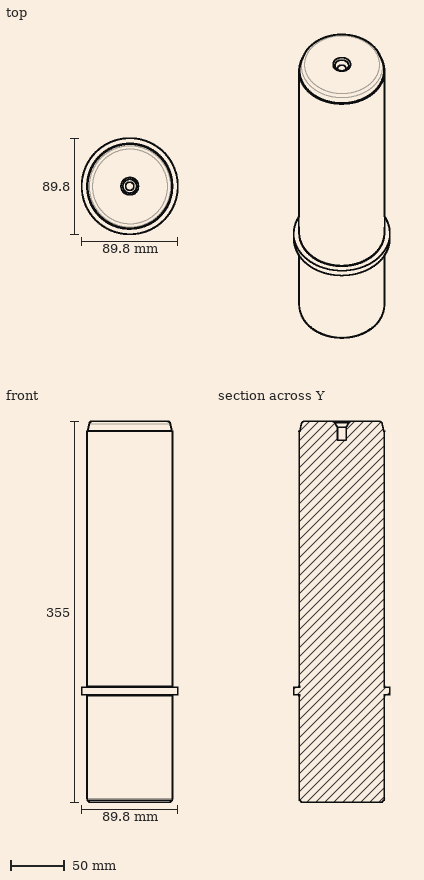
import cadquery as cq
import math

length = 355.0
shaft_radius = 80.0 / 2
collar_radius = 89.8 / 2
collar_bottom = 100.0
collar_thickness = 7.0

relief_width = 1.0
relief_depth = 0.5

base_chamfer = 2.0
base_taper_height = 2.0
base_taper_inset = 0.5

nose_height = 9.0
shoulder_chamfer = 0.7
nose_angle = 12.0
nose_fillet = 3.0

mouth_radius = 8.0
mouth_depth = 1.5
cone_radius = 6.5
cone_angle = 60.0
pilot_radius = 4.0
pilot_depth = 17.8


def revolve_about_z(profile):
    """Turn a closed radius-height profile into a solid."""
    return profile.close().revolve(360, (0, 0, 0), (0, 1, 0))


def make_shaft():
    """Shaft with a chamfered base and shoulder."""
    taper_radius = shaft_radius - base_taper_inset
    shoulder_top = length - nose_height
    return revolve_about_z(
        cq.Workplane("XZ")
        .lineTo(taper_radius - base_chamfer, 0)
        .lineTo(taper_radius, base_chamfer)
        .lineTo(shaft_radius, base_chamfer + base_taper_height)
        .lineTo(shaft_radius, shoulder_top - shoulder_chamfer)
        .lineTo(shaft_radius - shoulder_chamfer, shoulder_top)
        .lineTo(0, shoulder_top)
    )


def make_collar():
    """Plain flat collar."""
    return cq.Workplane("XY").workplane(offset=collar_bottom).circle(collar_radius).extrude(collar_thickness)


def make_relief(bottom):
    """Ring to cut from the shaft, starting at the given height."""
    return (
        cq.Workplane("XY")
        .workplane(offset=bottom)
        .circle(shaft_radius + relief_depth)
        .circle(shaft_radius - relief_depth)
        .extrude(relief_width)
    )


def make_nose():
    """Tapered nose with a rounded top edge."""
    nose = (
        cq.Workplane("XY")
        .workplane(offset=length - nose_height)
        .circle(shaft_radius - shoulder_chamfer)
        .extrude(nose_height, taper=nose_angle)
    )
    return nose.faces(">Z").edges().fillet(nose_fillet)


def make_centre_hole():
    """Countersunk mouth, centring cone and flat-bottomed pilot."""
    cone_top = length - mouth_depth
    cone_depth = (cone_radius - pilot_radius) / math.tan(math.radians(cone_angle / 2))
    pilot_bottom = length - pilot_depth
    return revolve_about_z(
        cq.Workplane("XZ")
        .moveTo(0, length)
        .lineTo(mouth_radius, length)
        .lineTo(cone_radius, cone_top)
        .lineTo(pilot_radius, cone_top - cone_depth)
        .lineTo(pilot_radius, pilot_bottom)
        .lineTo(0, pilot_bottom)
    )


result = make_shaft().union(make_collar()).union(make_nose())
for relief_bottom in (collar_bottom - relief_width, collar_bottom + collar_thickness):
    result = result.cut(make_relief(relief_bottom))
result = result.cut(make_centre_hole())